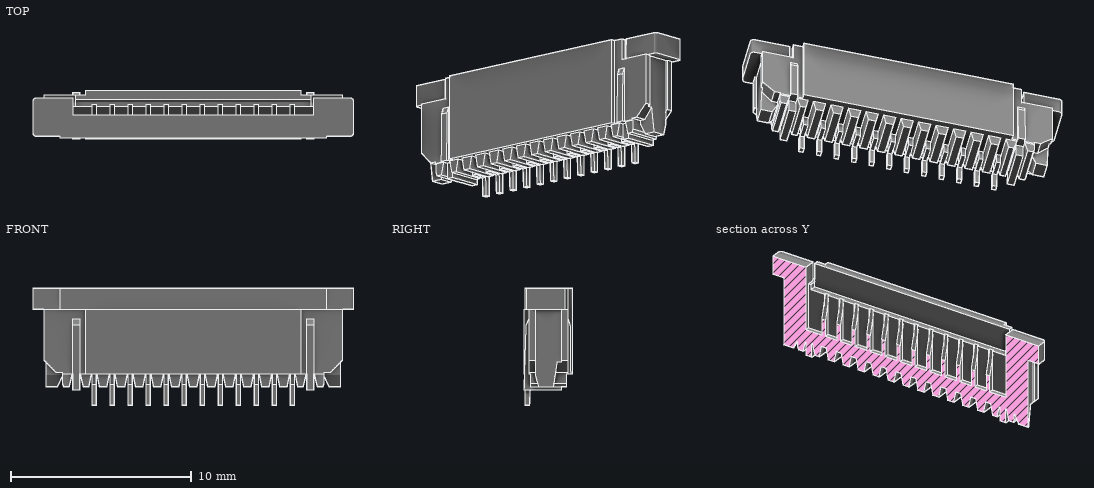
import cadquery as cq

contact_count = 12
pitch = 1.0
contact_width = 0.25

head_length = 17.8
head_height = 1.18
head_corner_radius = 0.2
head_end_front = 0.15
head_back = 2.29
head_middle_length = 14.8
head_middle_front = 0.05

slot_length = 13.36
slot_front = 1.33
slot_back = 1.82
slot_depth = 4.0
lead_in_depth = 1.5

body_length = 16.56
body_front = 0.27
body_back = 2.45
body_bottom = -4.77
corner_top = -4.0
corner_bottom = -4.68
toothed_length = 14.52

cover_length = 11.96
cover_front = 0.0
cover_back = 2.7
back_wall_length = 13.04
back_wall_front = 2.19

column_face = 8.18
column_front = 0.64
column_back = 2.09
column_inner = toothed_length / 2
column_inner_at_bottom = 7.53
column_side_bevel_top = -4.9
column_back_bevel_front = 1.85
column_bevel_top = -4.06
column_front_bevel_top = -4.83
column_foot_front = 0.82
column_foot_back = 1.64

teeth_front = 0.36
teeth_back = 2.37
teeth_bottom = -5.47
gap_top_width = 0.3
gap_bottom_width = 0.58
tooth_side_bevel_top = -5.29
tooth_side_bevel = 0.06

clip_x = 6.49
clip_width = 0.4
clip_gap_top_width = 0.44
clip_gap_bottom_width = 0.78
clip_top = -1.7
clip_bevel_bottom = -2.05
clip_shoulder_front = 0.12
clip_knee = -4.73
clip_knee_front = 0.03
clip_tip_front = 0.0
clip_bottom = -5.66
clip_foot_back = 2.09
clip_leg_inner = 0.33
clip_back_shoulder = 2.57
clip_back_bottom = 2.6

pin_front = 0.05
pin_back = 0.36
pin_tip_back = 0.32
pin_shoulder = -5.35
pin_bottom = -6.5
pin_root_front = 0.5
pin_root_back = 1.2
channel_back = 1.92
beam_top = -1.6

corner_run = corner_top - corner_bottom
contact_places = [(i - (contact_count - 1) / 2) * pitch for i in range(contact_count)]


def box(x_min, x_max, y_min, y_max, z_min, z_max):
    """Axis-aligned block between the given limits."""
    block = cq.Workplane("XY").box(x_max - x_min, y_max - y_min, z_max - z_min, centered=False)
    return block.translate((x_min, y_min, z_min))


def centered_box(length, y_min, y_max, z_min, z_max, x=0.0):
    """Block of the given X length centred on x."""
    return box(x - length / 2, x + length / 2, y_min, y_max, z_min, z_max)


def extrude_along_x(outline, x_min, x_max):
    """Solid with a (Y, Z) outline between two X places."""
    return cq.Workplane("YZ").polyline(outline).close().extrude(x_max - x_min).translate((x_min, 0, 0))


def extrude_along_y(outline, y_min, y_max):
    """Solid with an (X, Z) outline between two Y places."""
    return cq.Workplane("XZ").polyline(outline).close().extrude(y_min - y_max).translate((0, y_min, 0))


def both_sides(shape):
    """The shape together with its mirror image across X = 0."""
    return shape.union(shape.mirror("YZ"))


def make_head():
    rim = centered_box(head_length, head_end_front, head_back, -head_height, 0)
    rim = rim.edges("|Z").fillet(head_corner_radius)
    middle = centered_box(head_middle_length, head_middle_front, slot_front, -head_height, 0)
    opening = centered_box(slot_length, slot_front, head_back, -head_height, 0)
    return rim.union(middle).cut(opening)


def make_body():
    half = body_length / 2
    half_toothed = toothed_length / 2
    half_outline = [
        (half, corner_top),
        (half - corner_run, corner_bottom),
        (half_toothed, corner_bottom),
        (half_toothed, body_bottom),
    ]
    mirrored = [(-x, z) for x, z in reversed(half_outline)]
    outline = [(half, -head_height)] + half_outline + mirrored + [(-half, -head_height)]
    body = extrude_along_y(outline, body_front, body_back)
    recess = box(column_face, half, column_front, column_back, body_bottom, -head_height)
    slot = centered_box(slot_length, slot_front, slot_back, -slot_depth, -head_height)
    lead_in = centered_box(back_wall_length, slot_back, back_wall_front, -lead_in_depth, -head_height)
    return body.cut(both_sides(recess)).cut(slot).cut(lead_in)


def make_covers():
    front = centered_box(cover_length, cover_front, body_front, body_bottom, -head_height)
    back = centered_box(cover_length, body_back, cover_back, body_bottom, 0)
    back_wall = centered_box(back_wall_length, back_wall_front, body_back, -head_height, 0)
    return front.union(back).union(back_wall)


def make_column():
    side_outline = [
        (column_front, corner_top),
        (column_back, corner_top),
        (column_back, column_bevel_top),
        (column_back_bevel_front, column_bevel_top),
        (column_foot_back, teeth_bottom),
        (column_foot_front, teeth_bottom),
        (column_front, column_front_bevel_top),
    ]
    front_outline = [
        (column_face, corner_top),
        (column_face, teeth_bottom),
        (column_inner_at_bottom, teeth_bottom),
        (column_inner, column_side_bevel_top),
        (column_inner, corner_top),
    ]
    column = extrude_along_x(side_outline, column_inner, column_face)
    return column.intersect(extrude_along_y(front_outline, column_front, column_back))


def make_gap(x, top_width, bottom_width):
    outline = [
        (x - top_width / 2, body_bottom),
        (x + top_width / 2, body_bottom),
        (x + bottom_width / 2, teeth_bottom),
        (x - bottom_width / 2, teeth_bottom),
    ]
    return extrude_along_y(outline, teeth_front, teeth_back)


def make_teeth():
    half = toothed_length / 2
    outline = [
        (half, body_bottom),
        (half, tooth_side_bevel_top),
        (half - tooth_side_bevel, teeth_bottom),
        (tooth_side_bevel - half, teeth_bottom),
        (-half, tooth_side_bevel_top),
        (-half, body_bottom),
    ]
    teeth = extrude_along_y(outline, teeth_front, teeth_back)
    for x in contact_places:
        teeth = teeth.cut(make_gap(x, gap_top_width, gap_bottom_width))
    return teeth.cut(both_sides(make_gap(clip_x, clip_gap_top_width, clip_gap_bottom_width)))


def make_clip():
    front_leg = [
        (body_front, clip_top),
        (clip_shoulder_front, clip_bevel_bottom),
        (clip_knee_front, clip_knee),
        (clip_tip_front, clip_bottom),
        (clip_foot_back, clip_bottom),
        (clip_foot_back, body_bottom),
        (clip_leg_inner, body_bottom),
        (clip_leg_inner, clip_top),
    ]
    back_leg = [
        (body_back, clip_top),
        (clip_back_shoulder, clip_bevel_bottom),
        (clip_back_bottom, body_bottom),
        (body_back, body_bottom),
    ]
    x_min = clip_x - clip_width / 2
    x_max = clip_x + clip_width / 2
    return extrude_along_x(front_leg, x_min, x_max).union(extrude_along_x(back_leg, x_min, x_max))


def make_channel(x):
    """Notch in the back of the cable slot that holds one spring beam."""
    return centered_box(contact_width, slot_front, channel_back, -slot_depth, -head_height, x)


def make_beam(x):
    """Spring beam in its channel, sloping down towards the front of the slot."""
    outline = [
        (slot_front, -slot_depth),
        (channel_back, -slot_depth),
        (channel_back, beam_top),
    ]
    return extrude_along_x(outline, x - contact_width / 2, x + contact_width / 2)


def make_pin(x):
    """Solder pin that leaves the underside between two teeth and turns down at the front."""
    outline = [
        (pin_front, pin_bottom),
        (pin_front, pin_shoulder),
        (pin_root_front, pin_shoulder),
        (pin_root_front, body_bottom),
        (pin_root_back, body_bottom),
        (pin_root_back, teeth_bottom),
        (pin_back, teeth_bottom),
        (pin_tip_back, pin_bottom),
    ]
    return extrude_along_x(outline, x - contact_width / 2, x + contact_width / 2)


result = make_head().union(make_body()).union(make_covers()).union(make_teeth())
result = result.union(both_sides(make_column())).union(both_sides(make_clip()))
for place in contact_places:
    result = result.cut(make_channel(place)).union(make_beam(place)).union(make_pin(place))